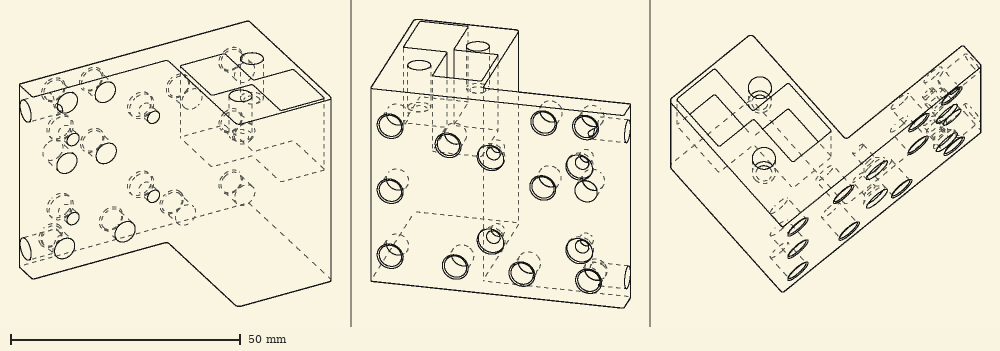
import cadquery as cq
import math

width = 38.2
length = 57.0
height = 46.0
plate_thickness = 6.4
block_length = 23.6
block_front = length - block_length

plate_corner_radius = 0.5
block_corner_radius = 0.95
inner_corner_radius = 0.75

pocket_depth = 18.0
pocket_corner_radius = 0.45
pocket_rectangles = [
    (22.95, 44.65, 37.3, 55.6),
    (9.85, 34.55, 24.4, 45.65),
]

bore_diameter = 5.0
drill_point_angle = 118.0
bore_rim_diameter = 5.8
bore_rim_angle = 120.0
side_bore_depth = plate_thickness

lower_row_z = 5.6
lower_row_start = 7.9
lower_row_pitch = 15.0
lower_row = [(lower_row_start + i * lower_row_pitch, lower_row_z) for i in range(3)]
block_column_y = 52.55
block_column_start = 6.5
block_column_pitch = 15.5
block_column = [(block_column_y, block_column_start + i * block_column_pitch) for i in range(3)]
upper_bores = [(8.6, 42.2), (18.0, 42.2), (18.25, 26.7), (39.5, 34.4)]
plain_bore = (8.5, 26.95)

screw_diameter = 3.0
screw_head_diameter = 6.0
screw_head_recess = 0.95
screw_head_angle = 90.0
screw_pattern_origin = (10.05, 12.55)
screw_pitch = 19.95

end_bore_heights = [6.05, 40.85]
end_bore_depth = 8.0

top_holes = [(14.65, 49.8), (27.55, 40.0)]
top_hole_depth = 10.0
top_hole_floor_diameter = 3.5


def cone_length(large_diameter, small_diameter, included_angle):
    """Axial length of a cone between two diameters."""
    return (large_diameter - small_diameter) / 2 / math.tan(math.radians(included_angle / 2))


def revolved_cutter(stations, origin, direction):
    """Round cutter through (depth, diameter) stations, from origin along direction."""
    outline = [(0, stations[0][0])]
    outline += [(diameter / 2, depth) for depth, diameter in stations]
    if stations[-1][1] > 0:
        outline.append((0, stations[-1][0]))
    x_direction = (0, 0, 1) if direction[2] == 0 else (1, 0, 0)
    normal = cq.Vector(*x_direction).cross(cq.Vector(*direction))
    plane = cq.Plane(origin=origin, xDir=x_direction, normal=normal)
    return cq.Workplane(plane).polyline(outline).close().revolve(360, (0, 0), (0, 1))


def make_body():
    plate = cq.Workplane("XY").box(plate_thickness, length, height, centered=False)
    block = (
        cq.Workplane("XY")
        .box(width, block_length, height, centered=False)
        .translate((0, block_front, 0))
    )
    body = plate.union(block)

    def round_edge(solid, x, y, radius):
        edge = cq.selectors.NearestToPointSelector((x, y, height / 2))
        return solid.edges("|Z").edges(edge).fillet(radius)

    body = round_edge(body, 0, 0, plate_corner_radius)
    body = round_edge(body, plate_thickness, 0, plate_corner_radius)
    body = round_edge(body, 0, length, plate_corner_radius)
    body = round_edge(body, width, length, block_corner_radius)
    body = round_edge(body, width, block_front, block_corner_radius)
    return round_edge(body, plate_thickness, block_front, inner_corner_radius)


def make_pocket():
    pocket = cq.Workplane("XY")
    for x_min, y_min, x_max, y_max in pocket_rectangles:
        pocket = pocket.union(
            cq.Workplane("XY", origin=(0, 0, height - pocket_depth))
            .moveTo((x_min + x_max) / 2, (y_min + y_max) / 2)
            .rect(x_max - x_min, y_max - y_min)
            .extrude(pocket_depth)
        )
    return pocket.edges("|Z").fillet(pocket_corner_radius)


def make_side_bore(y, z):
    """Bore along X, through the plate thickness, with a shallow chamfered rim."""
    rim_depth = cone_length(bore_rim_diameter, bore_diameter, bore_rim_angle)
    stations = [(0, bore_rim_diameter), (rim_depth, bore_diameter), (side_bore_depth, bore_diameter)]
    return revolved_cutter(stations, (0, y, z), (1, 0, 0))


def make_plain_bore(y, z):
    stations = [(0, bore_diameter), (plate_thickness, bore_diameter)]
    return revolved_cutter(stations, (0, y, z), (1, 0, 0))


def make_screw_hole(y, z):
    """Through hole with a countersink below a short cylindrical recess."""
    cone_end = screw_head_recess + cone_length(screw_head_diameter, screw_diameter, screw_head_angle)
    stations = [
        (0, screw_head_diameter),
        (screw_head_recess, screw_head_diameter),
        (cone_end, screw_diameter),
        (plate_thickness, screw_diameter),
    ]
    return revolved_cutter(stations, (0, y, z), (1, 0, 0))


def make_end_bore(z):
    """Blind bore along Y with a drill point."""
    tip = end_bore_depth + cone_length(bore_diameter, 0, drill_point_angle)
    stations = [(0, bore_diameter), (end_bore_depth, bore_diameter), (tip, 0)]
    return revolved_cutter(stations, (plate_thickness / 2, 0, z), (0, 1, 0))


def make_top_hole(x, y):
    """Blind hole along Z that narrows to a smaller flat floor."""
    floor = top_hole_depth + cone_length(bore_diameter, top_hole_floor_diameter, drill_point_angle)
    stations = [
        (0, bore_diameter),
        (top_hole_depth, bore_diameter),
        (floor, top_hole_floor_diameter),
    ]
    return revolved_cutter(stations, (x, y, height), (0, 0, -1))


result = make_body().cut(make_pocket())

for y, z in lower_row + block_column + upper_bores:
    result = result.cut(make_side_bore(y, z))
result = result.cut(make_plain_bore(*plain_bore))

for row in range(2):
    for column in range(2):
        screw_y = screw_pattern_origin[0] + column * screw_pitch
        screw_z = screw_pattern_origin[1] + row * screw_pitch
        result = result.cut(make_screw_hole(screw_y, screw_z))

for z in end_bore_heights:
    result = result.cut(make_end_bore(z))

for x, y in top_holes:
    result = result.cut(make_top_hole(x, y))